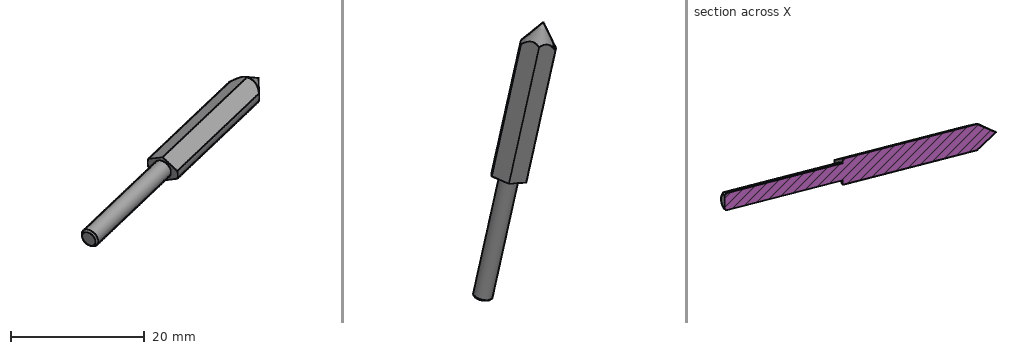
import cadquery as cq
import math

total_length = 46.0
body_width = 5.45
body_height = 4.5
flank_angle = 30.0

shank_length = 20.0
shank_diameter = 3.0
shank_chamfer = 0.3

tip_half_angle = 35.0

body_length = total_length - shank_length
body_radius = body_width / 2
ridge_height = body_height / 2
tip_length = body_radius / math.tan(math.radians(tip_half_angle))


def pointed_round_body():
    """Round bar with a conical point, from the shoulder at Y = 0."""
    half_profile = [
        (0, 0),
        (body_radius, 0),
        (body_radius, body_length - tip_length),
        (0, body_length),
    ]
    return cq.Workplane("XY").polyline(half_profile).close().revolve(360, (0, 0), (0, 1))


def diamond_bar():
    """Rhombic bar whose four flats become the flanks of the body."""
    half_diagonal = ridge_height / math.tan(math.radians(flank_angle))
    corners = [
        (half_diagonal, 0),
        (0, ridge_height),
        (-half_diagonal, 0),
        (0, -ridge_height),
    ]
    return cq.Workplane("XZ").polyline(corners).close().extrude(-body_length)


def shank():
    """Round shank running from the shoulder to its chamfered -Y end."""
    rod = cq.Workplane("XZ").circle(shank_diameter / 2).extrude(shank_length)
    return rod.faces("<Y").chamfer(shank_chamfer)


body = pointed_round_body().intersect(diamond_bar())
result = body.union(shank())